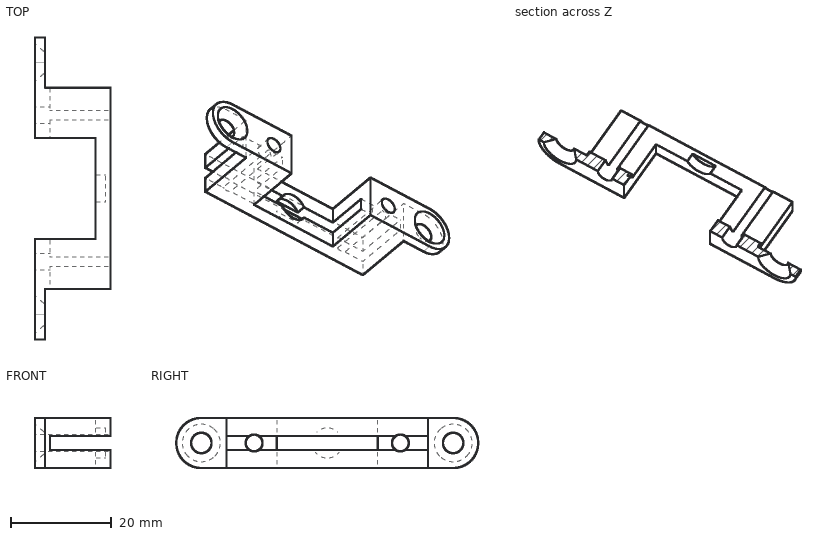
import cadquery as cq

length = 60.0
depth = 15.0
height = length / 6

body_length = length * 2 / 3
ear_thickness = length / 30
ear_hole_offset = (length - height) / 2

gap_length = length / 3
bridge_thickness = 3.0

slot_start = 3.0
slot_height = 2.7

countersink_diameter = 7.5
screw_hole_diameter = 4.0
pin_hole_diameter = 3.3
pin_hole_offset = 14.5
pocket_diameter = 6.0
pocket_depth = 2.0


def block(x_start, x_end, y_size, z_size):
    """Box between two X positions, centred on Y and Z."""
    box = cq.Workplane("XY").box(x_end - x_start, y_size, z_size, centered=(False, True, True))
    return box.translate((x_start, 0, 0))


def bore(diameter, x_start, bore_depth, y):
    """Cylinder along +X starting at x_start."""
    return cq.Workplane("YZ", origin=(x_start, y, 0)).circle(diameter / 2).extrude(bore_depth)


def countersink(y):
    """Cone narrowing from the front face to the back of an ear."""
    cone = cq.Solid.makeCone(
        countersink_diameter / 2,
        screw_hole_diameter / 2,
        ear_thickness,
        pnt=cq.Vector(0, y, 0),
        dir=cq.Vector(1, 0, 0),
    )
    return cq.Workplane("XY").newObject([cone])


plate = cq.Workplane("YZ").slot2D(length, height).extrude(ear_thickness)
result = plate.union(block(0, depth, body_length, height))

bridge_front = depth - bridge_thickness
result = result.cut(block(0, bridge_front, gap_length, height))
result = result.cut(block(slot_start, depth, body_length, slot_height))

for side in (-1, 1):
    result = result.cut(countersink(side * ear_hole_offset))
    result = result.cut(bore(pin_hole_diameter, 0, depth, side * pin_hole_offset))

result = result.cut(bore(pocket_diameter, bridge_front, pocket_depth, 0))